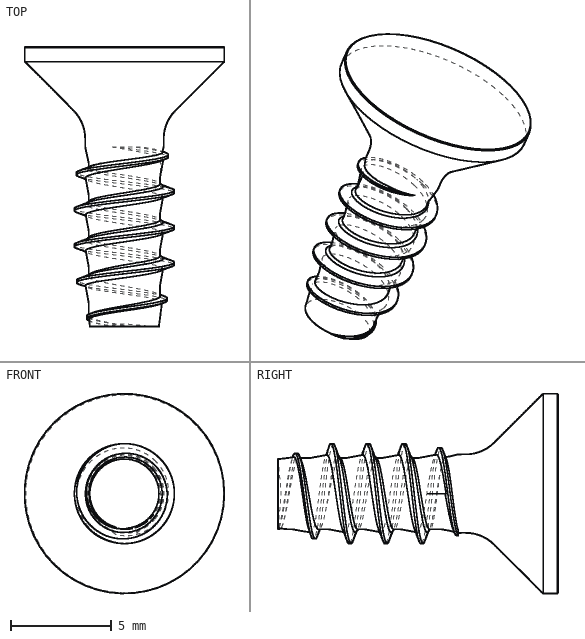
import cadquery as cq
import math


LENGTH = 14.0

HEAD_RADIUS = 5.0
HEAD_RIM = 0.75
RIM_CHAMFER = 0.05

NECK_RADIUS = 1.97
NECK_FILLET = 2.0
NECK_END = 5.0
CORE_START = 5.82

CORE_RADIUS = 1.79
TIP_RADIUS = 1.73
TIP_CONE_SLOPE = 0.13
THREAD_EXCESS = 0.4
TIP_EXCESS = 2.5
TIP_TRIM_MARGIN = 0.1

DIMPLE_RADIUS = 1.64
DIMPLE_DEPTH = 0.15

PITCH = 1.8
THREAD_RADIUS = 2.5
CREST_HALF_WIDTH = 0.06
FLANK_RADIUS = 1.94
FLANK_HALF_WIDTH = 0.26
RIB_FOOT = 0.39
RAMP_FOOT = 1.07
RAMP_OVERLAP = 0.1
BURIED_DEPTH = 0.06
BURIED_RADIUS = CORE_RADIUS - BURIED_DEPTH
THREAD_LEAD_IN = PITCH / 4
RAMP_START = NECK_END + PITCH / 4

RUN_IN_RADIUS = 2.1
RUN_IN_END = NECK_END + PITCH
RUN_OUT_START = 11.33
RUN_OUT_RADIUS = 1.77

STEPS_PER_TURN = 16


def turned(half_profile):
    """Revolve a closed (radius, z) outline about the local Z axis."""
    return half_profile.close().revolve(360, (0, 0, 0), (0, 1, 0))


def make_body():
    """Head, filleted neck and plain core as one turned solid."""
    diagonal = math.sqrt(0.5)
    fillet_top_radius = NECK_RADIUS + NECK_FILLET * (1 - diagonal)
    fillet_top = HEAD_RIM + HEAD_RADIUS - fillet_top_radius
    fillet_end = fillet_top + NECK_FILLET * diagonal
    half_angle = math.radians(22.5)
    fillet_mid_radius = NECK_RADIUS + NECK_FILLET * (1 - math.cos(half_angle))
    fillet_mid = fillet_end - NECK_FILLET * math.sin(half_angle)
    outline = (
        cq.Workplane("XZ")
        .moveTo(0, 0)
        .lineTo(HEAD_RADIUS - RIM_CHAMFER, 0)
        .lineTo(HEAD_RADIUS, -RIM_CHAMFER)
        .lineTo(HEAD_RADIUS, -HEAD_RIM)
        .lineTo(fillet_top_radius, -fillet_top)
        .threePointArc((fillet_mid_radius, -fillet_mid), (NECK_RADIUS, -fillet_end))
        .lineTo(NECK_RADIUS, -NECK_END)
        .lineTo(CORE_RADIUS, -CORE_START)
        .lineTo(CORE_RADIUS, -LENGTH - TIP_EXCESS)
        .lineTo(0, -LENGTH - TIP_EXCESS)
    )
    return turned(outline)


def crest_sink(depth):
    """How far the rib section has sunk towards the axis at this depth."""
    run_in_slope = (THREAD_RADIUS - RUN_IN_RADIUS) / (RUN_IN_END - NECK_END)
    run_out_slope = (THREAD_RADIUS - RUN_OUT_RADIUS) / (LENGTH - RUN_OUT_START)
    run_in = run_in_slope * (RUN_IN_END - depth)
    run_out = run_out_slope * (depth - RUN_OUT_START)
    return max(0, run_in, run_out)


def no_sink(depth):
    """The section keeps its radius at every depth."""
    return 0


def helical_edge(radius, offset, start_depth, end_depth, sink):
    """Right-handed helix; it crosses local +Y where the crest reaches the end of the neck."""

    def point(depth):
        angle = math.pi / 2 - 2 * math.pi * (depth - NECK_END) / PITCH
        reach = radius - sink(depth)
        return cq.Vector(reach * math.cos(angle), reach * math.sin(angle), -depth - offset)

    steps = math.ceil((end_depth - start_depth) / PITCH * STEPS_PER_TURN)
    step = (end_depth - start_depth) / steps
    return cq.Edge.makeSpline([point(start_depth + step * i) for i in range(steps + 1)])


def helical_solid(section, start_depth, end_depth, sink):
    """Carry a closed (radius, offset towards the tip) section along the thread helix."""
    edges = [helical_edge(radius, offset, start_depth, end_depth, sink) for radius, offset in section]
    faces = [cq.Face.makeRuledSurface(edges[i], edges[i - 1]) for i in range(len(edges))]
    start_corners = [edge.startPoint() for edge in edges]
    end_corners = [edge.endPoint() for edge in reversed(edges)]
    for corners in (start_corners, end_corners):
        faces.append(cq.Face.makeFromWires(cq.Wire.makePolygon(corners, close=True)))
    return cq.Workplane(cq.Solid.makeSolid(cq.Shell.makeShell(faces)).fix())


def make_rib():
    """Steep-flanked thread rib, cut square at the end of the neck."""
    foot_spread = (RIB_FOOT - FLANK_HALF_WIDTH) / (FLANK_RADIUS - CORE_RADIUS)
    section = [
        (BURIED_RADIUS, -RIB_FOOT - foot_spread * BURIED_DEPTH),
        (FLANK_RADIUS, -FLANK_HALF_WIDTH),
        (THREAD_RADIUS, -CREST_HALF_WIDTH),
        (THREAD_RADIUS, CREST_HALF_WIDTH),
        (FLANK_RADIUS, FLANK_HALF_WIDTH),
        (BURIED_RADIUS, FLANK_HALF_WIDTH),
    ]
    rib = helical_solid(section, NECK_END - THREAD_LEAD_IN, LENGTH + THREAD_EXCESS, crest_sink)
    neck_side = cq.Workplane("XY").workplane(offset=-NECK_END).circle(HEAD_RADIUS).extrude(NECK_END)
    return rib.cut(neck_side)


def make_ramp():
    """Gentle slope from the tip-side flank down to the core."""
    slope = (FLANK_RADIUS - CORE_RADIUS) / (RAMP_FOOT - FLANK_HALF_WIDTH)
    section = [
        (BURIED_RADIUS, RAMP_OVERLAP),
        (FLANK_RADIUS + slope * (FLANK_HALF_WIDTH - RAMP_OVERLAP), RAMP_OVERLAP),
        (BURIED_RADIUS, RAMP_FOOT + BURIED_DEPTH / slope),
    ]
    return helical_solid(section, RAMP_START, LENGTH + THREAD_EXCESS, no_sink)


def make_tip_trim():
    """Ring outside the slight tip cone, from the depth where the cone clears the ramp."""
    top_radius = FLANK_RADIUS + TIP_TRIM_MARGIN
    bottom_radius = TIP_RADIUS - TIP_CONE_SLOPE * TIP_EXCESS
    top = (top_radius - TIP_RADIUS) / TIP_CONE_SLOPE - LENGTH
    bottom = -LENGTH - TIP_EXCESS
    return turned(
        cq.Workplane("XZ")
        .moveTo(top_radius, top)
        .lineTo(bottom_radius, bottom)
        .lineTo(HEAD_RADIUS, bottom)
        .lineTo(HEAD_RADIUS, top)
    )


def make_tip_end():
    """Everything beyond the tip face, with the shallow cone that leaves the dimple."""
    bottom = -LENGTH - 2 * TIP_EXCESS
    return turned(
        cq.Workplane("XZ")
        .moveTo(0, DIMPLE_DEPTH - LENGTH)
        .lineTo(DIMPLE_RADIUS, -LENGTH)
        .lineTo(HEAD_RADIUS, -LENGTH)
        .lineTo(HEAD_RADIUS, bottom)
        .lineTo(0, bottom)
    )


screw = make_body().union(make_ramp()).cut(make_tip_trim())
screw = screw.union(make_rib()).cut(make_tip_end())
result = screw.rotate((0, 0, 0), (1, 0, 0), -90)